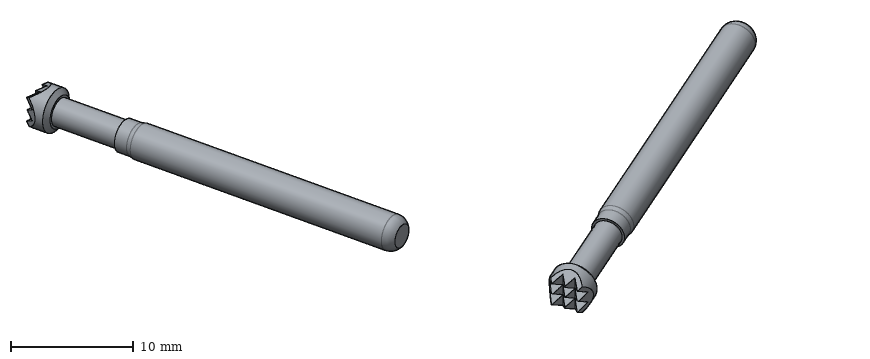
import cadquery as cq
import math

length = 36.07
head_radius = 2.0
head_rim_end = 2.13
head_end = 2.52
head_back_radius = 1.48
stem_radius = 1.25
collar_start = 8.85
collar_end = 10.03
collar_radius = 1.48
barrel_start = 10.45
barrel_radius = 1.6
tail_length = 0.97
tail_radius = 1.05

tip_pitch = 1.15
groove_offset = 0.55
groove_depth = 0.9
outer_flank_angle = math.radians(31)


def make_body():
    """Revolve the head, stem, collar and barrel about the X axis."""
    drop = barrel_radius - tail_radius
    arc_radius = (tail_length**2 + drop**2) / (2 * drop)
    half_sweep = math.atan2(drop, tail_length)
    tail_start = length - tail_length
    arc_middle = (
        tail_start + arc_radius * math.sin(half_sweep),
        barrel_radius - arc_radius * (1 - math.cos(half_sweep)),
    )
    return (
        cq.Workplane("XY")
        .lineTo(0, head_radius)
        .lineTo(head_rim_end, head_radius)
        .lineTo(head_end, head_back_radius)
        .lineTo(head_end, stem_radius)
        .lineTo(collar_start, stem_radius)
        .lineTo(collar_start, collar_radius)
        .lineTo(collar_end, collar_radius)
        .lineTo(barrel_start, barrel_radius)
        .lineTo(tail_start, barrel_radius)
        .threePointArc(arc_middle, (length, tail_radius))
        .lineTo(length, 0)
        .close()
        .revolve(360, (0, 0, 0), (1, 0, 0))
    )


def triangular_cutter(points):
    """Prism along Z, long enough to pass right through the head."""
    return cq.Workplane("XY").polyline(points).close().extrude(head_radius, both=True)


def cut_crown_rows(body):
    """Cut two V grooves and two outer flanks, all running along Z."""
    groove_half_width = tip_pitch - groove_offset
    outer_width = head_radius - tip_pitch
    outer_depth = outer_width / math.tan(outer_flank_angle)
    for side in (-1, 1):
        groove = [
            (0, side * (groove_offset - groove_half_width)),
            (groove_depth, side * groove_offset),
            (0, side * tip_pitch),
        ]
        outer_flank = [
            (0, side * tip_pitch),
            (outer_depth, side * head_radius),
            (0, side * head_radius),
        ]
        body = body.cut(triangular_cutter(groove))
        body = body.cut(triangular_cutter(outer_flank))
    return body


def quarter_turn(body):
    """Turn the body 90 degrees about the X axis."""
    return body.rotate((0, 0, 0), (1, 0, 0), 90)


result = cut_crown_rows(quarter_turn(cut_crown_rows(make_body())))